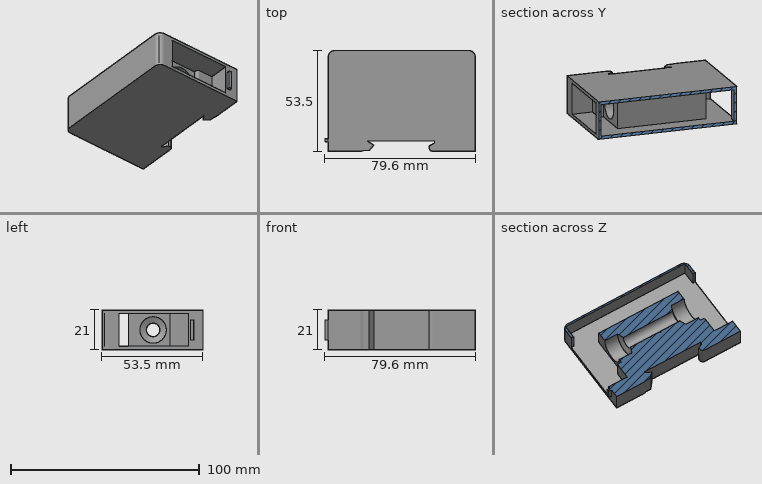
import cadquery as cq

length = 79.6
depth = 53.5
height = 21.0
tab_reach = 1.7
body_left = tab_reach
body_length = length - body_left
body_center_x = body_left + body_length / 2
mid_z = height / 2
corner_radius = 3.5

recess_depth = 5.4
claw_root_x = 22.6
claw_tip_x = 25.95
claw_tip_y = 3.4
claw_foot_x = 23.4
claw_foot_y = 0.4
relief_start_x = 19.0
relief_end_x = 20.45
hook_x = 55.2
hook_radius = 1.9
hook_top_y = 3.0
recess_right_x = 57.9
recess_right_y = 4.45

plate_thickness = 1.9
cavity_height = height - 2 * plate_thickness
end_wall = 1.6
side_wall = 1.3
opening_low_y = 7.9
opening_high_y = 44.5
cavity_high_y = depth - side_wall

block_face_x = 15.7
block_top_y = 39.6
step_face_x = 13.1
step_top_y = 17.6
step_radius = 1.1

hole_y = 26.5
hole_radius = 3.5
bore_radius = 7.0
bore_depth = 8.0
cone_depth = 1.4

tab_low_y = 4.85
tab_high_y = 6.85
tab_height = 10.75
tab_taper = 0.3


def centered_box(x_start, x_end, y_start, y_end, z_size):
    """Box between X and Y limits, centred on the mid height."""
    return cq.Workplane("XY").box(
        x_end - x_start, y_end - y_start, z_size, centered=(False, False, True)
    ).translate((x_start, y_start, mid_z))


def mirrored_x(x):
    """X position mirrored about the middle of the body."""
    return 2 * body_center_x - x


def make_body():
    body = (
        cq.Workplane("XY")
        .moveTo(body_left, 0)
        .lineTo(relief_start_x, 0)
        .lineTo(relief_end_x, claw_foot_y)
        .lineTo(claw_foot_x, claw_foot_y)
        .lineTo(claw_tip_x, claw_tip_y)
        .lineTo(claw_root_x, recess_depth)
        .lineTo(recess_right_x, recess_depth)
        .lineTo(recess_right_x, recess_right_y)
        .lineTo(hook_x, hook_top_y)
        .lineTo(hook_x, hook_radius)
        .radiusArc((hook_x + hook_radius, 0), -hook_radius)
        .lineTo(length, 0)
        .lineTo(length, depth)
        .lineTo(body_left, depth)
        .close()
        .extrude(height)
    )
    return body.faces(">Y").edges("|Z").fillet(corner_radius)


def make_cavity():
    opening = centered_box(body_left, length, opening_low_y, opening_high_y, cavity_height)
    chamber = centered_box(
        body_left + end_wall, length - end_wall, opening_low_y, cavity_high_y, cavity_height
    )
    return opening.union(chamber)


def make_block():
    step = centered_box(
        step_face_x, mirrored_x(step_face_x), opening_low_y, step_top_y, cavity_height
    )
    step = step.faces(">Y").edges("|Z").fillet(step_radius)
    main = centered_box(
        block_face_x, mirrored_x(block_face_x), opening_low_y, block_top_y, cavity_height
    )
    return main.union(step)


def make_stepped_hole():
    """Through hole widened to a cone-bottomed bore at each end of the inner block."""
    floor_x = block_face_x + bore_depth
    throat_x = floor_x + cone_depth
    half_profile = (
        cq.Workplane("XY", origin=(0, hole_y, mid_z))
        .moveTo(block_face_x, 0)
        .lineTo(block_face_x, bore_radius)
        .lineTo(floor_x, bore_radius)
        .lineTo(throat_x, hole_radius)
        .lineTo(mirrored_x(throat_x), hole_radius)
        .lineTo(mirrored_x(floor_x), bore_radius)
        .lineTo(mirrored_x(block_face_x), bore_radius)
        .lineTo(mirrored_x(block_face_x), 0)
        .close()
    )
    return half_profile.revolve(360, (0, 0, 0), (1, 0, 0))


def make_tab():
    """Latch tab whose lower side tapers toward its tip."""
    return (
        cq.Workplane("XY", origin=(0, 0, mid_z - tab_height / 2))
        .moveTo(body_left, tab_low_y)
        .lineTo(body_left, tab_high_y)
        .lineTo(0, tab_high_y)
        .lineTo(0, tab_low_y + tab_taper)
        .close()
        .extrude(tab_height)
    )


block = make_block().cut(make_stepped_hole())
result = make_body().cut(make_cavity()).union(block).union(make_tab())